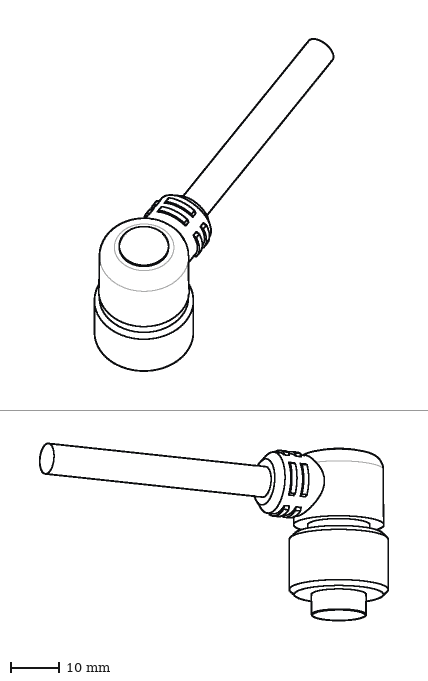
import cadquery as cq
import math


nut_dia = 20.55
nut_bottom = 4.4
nut_height = 12.7
nut_chamfer = 1.0
nut_top = nut_bottom + nut_height

insert_dia = 11.35
insert_chamfer = 0.15
neck_dia = 12.9

elbow_bottom = 19.1
elbow_bottom_dia = 18.75
elbow_top_dia = 18.4
elbow_top = 33.9
dome_radius = 3.1
disc_dia = 10.2
disc_top = 34.25

boot_axis_z = 26.55
boot_dia = 12.75
boot_end = 17.6
boot_chamfer = 1.6
rib_outer_dia = 13.7
rib_width = 1.2
rib_centers = (14.0, 11.3)
ribs_per_ring = 4
rib_spacing = 360 / ribs_per_ring
rib_root_length = 6.9
rib_outer_length = 6.3

cable_dia = 6.4
overall_length = 78.75
cable_end = overall_length - nut_dia / 2


def upright_cylinder(diameter, bottom, top):
    """Cylinder on the plug axis between two heights."""
    return cq.Workplane("XY").workplane(offset=bottom).circle(diameter / 2).extrude(top - bottom)


def cable_cylinder(diameter, start, end):
    """Cylinder on the cable axis between two distances from the plug axis."""
    plane = cq.Plane(origin=(0, start, boot_axis_z), xDir=(1, 0, 0), normal=(0, 1, 0))
    return cq.Workplane(plane).circle(diameter / 2).extrude(end - start)


def make_elbow():
    """Tapered body with a domed top and a raised disc."""
    body = (
        cq.Workplane("XY").workplane(offset=elbow_bottom).circle(elbow_bottom_dia / 2)
        .workplane(offset=elbow_top - elbow_bottom).circle(elbow_top_dia / 2)
        .loft(ruled=True)
        .faces(">Z").edges().fillet(dome_radius)
    )
    return body.union(upright_cylinder(disc_dia, elbow_top, disc_top))


def make_boot():
    """Round sleeve from the plug axis to its chamfered end."""
    return cable_cylinder(boot_dia, 0, boot_end).faces(">Y").edges().chamfer(boot_chamfer)


def make_rib(center, direction):
    """Arc-shaped rib with slanted ends, rooted in the boot and facing the given angle."""
    outer_radius = rib_outer_dia / 2
    root_x = rib_root_length / 2
    root_z = math.sqrt((boot_dia / 2) ** 2 - root_x ** 2)
    end_x = rib_outer_length / 2
    end_z = math.sqrt(outer_radius ** 2 - end_x ** 2)
    plane = cq.Plane(
        origin=(0, center - rib_width / 2, boot_axis_z), xDir=(-1, 0, 0), normal=(0, 1, 0)
    )
    return (
        cq.Workplane(plane.rotated((0, 0, direction)))
        .moveTo(0, 0)
        .lineTo(-root_x, root_z)
        .lineTo(-end_x, end_z)
        .threePointArc((0, outer_radius), (end_x, end_z))
        .lineTo(root_x, root_z)
        .close()
        .extrude(rib_width)
    )


def make_plug_core():
    """Neck under the elbow and the insert that passes through the nut."""
    neck = upright_cylinder(neck_dia, nut_top, elbow_bottom)
    insert = upright_cylinder(insert_dia, 0, nut_top).faces("<Z").edges().chamfer(insert_chamfer)
    return neck.union(insert)


def make_housing():
    """One moulding: elbow, ribbed cable boot and plug core."""
    housing = make_elbow().union(make_boot()).union(make_plug_core())
    for center in rib_centers:
        for index in range(ribs_per_ring):
            housing = housing.union(make_rib(center, index * rib_spacing))
    return housing


def make_nut():
    """Chamfered ring, bored to fit the insert."""
    blank = upright_cylinder(nut_dia, nut_bottom, nut_top).edges().chamfer(nut_chamfer)
    return blank.cut(upright_cylinder(insert_dia, nut_bottom, nut_top))


def make_cable():
    """Round cable that starts at the end face of the boot."""
    return cable_cylinder(cable_dia, boot_end, cable_end)


housing = make_housing()
nut = make_nut()
cable = make_cable()

result = cq.Compound.makeCompound([housing.val(), nut.val(), cable.val()])